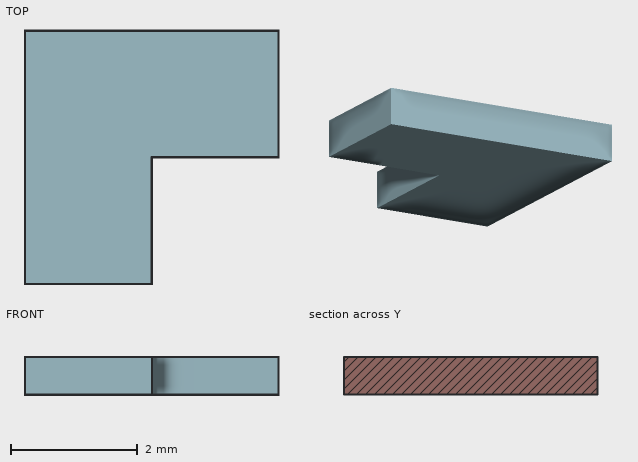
import cadquery as cq

side_length = 4.0
arm_width = side_length / 2
thickness = 0.6

low = -side_length / 2
high = side_length / 2
inner_x = low + arm_width
inner_y = high - arm_width

outline = [
    (low, low),
    (inner_x, low),
    (inner_x, inner_y),
    (high, inner_y),
    (high, high),
    (low, high),
]

result = cq.Workplane("XY").polyline(outline).close().extrude(thickness)